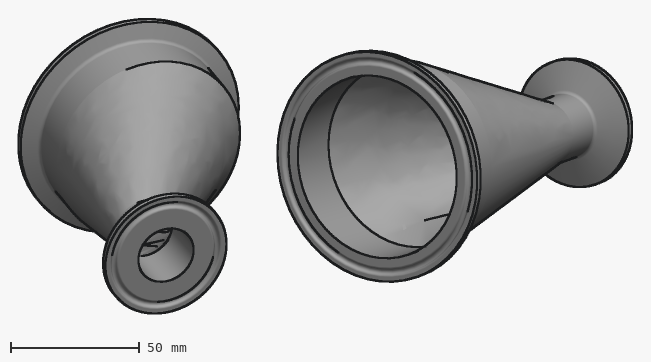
import cadquery as cq
import math

LENGTH = 107.0
FERRULE_LENGTH = 22.9

LARGE_FLANGE_R = 91.0 / 2
LARGE_TUBE_R = 76.3 / 2
LARGE_BORE_R = 72.3 / 2

SMALL_FLANGE_R = 50.5 / 2
SMALL_TUBE_R = 25.4 / 2
SMALL_BORE_R = 23.0 / 2

AXIS_OFFSET = SMALL_TUBE_R - LARGE_TUBE_R

RIM_THICKNESS = 2.7
BACK_SLOPE = math.radians(20)
NECK_FILLET = 1.7

GROOVE_INSET = 3.7
GROOVE_DEPTH = 1.3
GROOVE_BOTTOM_HALF = 1.1
GROOVE_LIP_WIDTH = 0.9


def ferrule(flange_r, tube_r, bore_r):
    """Tube with a clamp flange, its face on X = 0 and its tube toward +X."""
    neck_x = RIM_THICKNESS + (flange_r - tube_r) * math.tan(BACK_SLOPE)
    turn = math.pi / 2 - BACK_SLOPE
    tangent = NECK_FILLET * math.tan(turn / 2)
    fillet_x = neck_x + tangent
    fillet_r = tube_r + NECK_FILLET
    fillet_mid = (
        fillet_x - NECK_FILLET * math.sin(turn / 2),
        fillet_r - NECK_FILLET * math.cos(turn / 2),
    )
    fillet_end = (
        neck_x - tangent * math.sin(BACK_SLOPE),
        tube_r + tangent * math.cos(BACK_SLOPE),
    )
    body = (
        cq.Workplane("XY")
        .moveTo(0, bore_r)
        .lineTo(FERRULE_LENGTH, bore_r)
        .lineTo(FERRULE_LENGTH, tube_r)
        .lineTo(fillet_x, tube_r)
        .threePointArc(fillet_mid, fillet_end)
        .lineTo(RIM_THICKNESS, flange_r)
        .lineTo(0, flange_r)
        .close()
        .revolve(360, (0, 0, 0), (1, 0, 0))
    )
    return body.cut(gasket_groove(flange_r - GROOVE_INSET))


def gasket_groove(center_r):
    """Ring to cut from the clamp face, made of three tangent arcs."""
    half_width = GROOVE_BOTTOM_HALF + GROOVE_LIP_WIDTH
    wall_angle = 2 * math.atan(GROOVE_DEPTH / half_width)
    lip_radius = GROOVE_LIP_WIDTH / math.sin(wall_angle)
    wall_x = lip_radius * (1 - math.cos(wall_angle))
    lip_mid_x = lip_radius * (1 - math.cos(wall_angle / 2))
    lip_mid_offset = half_width - lip_radius * math.sin(wall_angle / 2)
    return (
        cq.Workplane("XY")
        .moveTo(0, center_r - half_width)
        .threePointArc((lip_mid_x, center_r - lip_mid_offset), (wall_x, center_r - GROOVE_BOTTOM_HALF))
        .threePointArc((GROOVE_DEPTH, center_r), (wall_x, center_r + GROOVE_BOTTOM_HALF))
        .threePointArc((lip_mid_x, center_r + lip_mid_offset), (0, center_r + half_width))
        .close()
        .revolve(360, (0, 0, 0), (1, 0, 0))
    )


def oblique_cone(large_r, small_r):
    """Solid between a circle on the large axis and one on the small axis."""
    start_plane = cq.Plane(origin=(FERRULE_LENGTH, 0, 0), xDir=(0, -1, 0), normal=(1, 0, 0))
    return (
        cq.Workplane(start_plane)
        .circle(large_r)
        .workplane(offset=LENGTH - 2 * FERRULE_LENGTH)
        .center(-AXIS_OFFSET, 0)
        .circle(small_r)
        .loft(ruled=True)
    )


large_end = ferrule(LARGE_FLANGE_R, LARGE_TUBE_R, LARGE_BORE_R)
small_end = (
    ferrule(SMALL_FLANGE_R, SMALL_TUBE_R, SMALL_BORE_R)
    .mirror("YZ")
    .translate((LENGTH, AXIS_OFFSET, 0))
)
reducer = oblique_cone(LARGE_TUBE_R, SMALL_TUBE_R).cut(oblique_cone(LARGE_BORE_R, SMALL_BORE_R))

result = large_end.union(reducer).union(small_end)